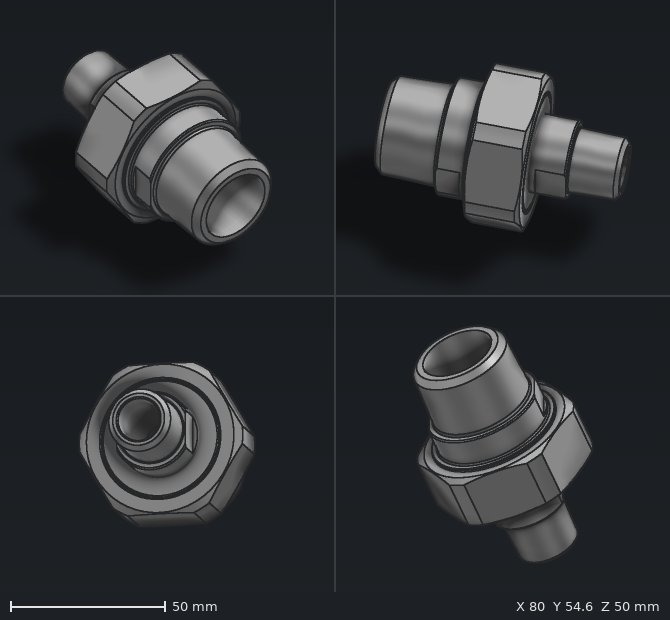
import cadquery as cq
import math

LENGTH = 80.0

NUT_START = 29.4
NUT_END = 48.0
NUT_ACROSS_FLATS = 50.0
NUT_CORNER_RADIUS = 27.32
NUT_FACE_RADIUS = 24.6
NUT_CHAMFER_DEPTH = 1.0
NUT_LIP_RADIUS = 39.5 / 2
NUT_LIP_CHAMFER = 0.5
NUT_LIP_END = NUT_START + 4.8
THREAD_RADIUS = 43.4 / 2

TAIL_BORE_RADIUS = 14.0 / 2
TAIL_BORE_CHAMFER = 0.5
TAIL_TIP_RADIUS = 8.6
TAIL_TAPER_START = 1.5
TAIL_TAPER_START_RADIUS = 10.3
TAIL_TAPER_END = 16.5
TAIL_TAPER_END_RADIUS = 10.7
TAIL_NECK_RADIUS = 11.0
TAIL_BODY_START = 17.0
TAIL_BODY_RADIUS = 26.0 / 2
TAIL_BODY_CHAMFER = 0.6
TAIL_ROOT_RADIUS = 0.3
TAIL_FLAT_OFFSET = 11.4
TAIL_FLAT_END = 27.1
FLANGE_RADIUS = 39.0 / 2
FLANGE_CHAMFER = 0.5
COLLAR_RADIUS = 43.0 / 2
COLLAR_END = NUT_LIP_END + 4.0

HOUSING_BORE_RADIUS = 24.0 / 2
THREAD_END = 49.0
THREAD_CHAMFER = 0.3
HOUSING_SHOULDER_RADIUS = 19.9
HOUSING_BODY_START = 49.7
HOUSING_BODY_RADIUS = 19.4
HOUSING_BODY_END = 58.8
HOUSING_BODY_CHAMFER = 0.5
HOUSING_FLAT_OFFSET = 18.4
HOUSING_FLAT_START = 50.7
HOUSING_NECK_END = 59.8
HOUSING_NECK_RADIUS = 17.4
HOUSING_TAPER_RADIUS = 17.0
HOUSING_TAPER_END = 77.8
HOUSING_TAPER_END_RADIUS = 16.3
HOUSING_TIP_RADIUS = 14.2


def turn(profile):
    """Revolve a closed profile of (x, radius) about the X axis."""
    return profile.close().revolve(360, (0, 0, 0), (1, 0, 0))


def cut_flats(body, offset, start, end):
    """Cut two wrench flats facing -Y and +Y at the given distance from the axis."""
    for side in (-1, 1):
        block = cq.Workplane("XY").box(end - start, offset, 4 * offset)
        body = body.cut(block.translate(((start + end) / 2, side * 1.5 * offset, 0)))
    return body


def make_nut():
    hexagon = (
        cq.Workplane("YZ", origin=(NUT_START, 0, 0))
        .polygon(6, NUT_ACROSS_FLATS / math.cos(math.pi / 6))
        .extrude(NUT_END - NUT_START)
    )
    envelope = turn(
        cq.Workplane("XY").polyline([
            (NUT_START, 0),
            (NUT_START, NUT_FACE_RADIUS),
            (NUT_START + NUT_CHAMFER_DEPTH, NUT_CORNER_RADIUS),
            (NUT_END - NUT_CHAMFER_DEPTH, NUT_CORNER_RADIUS),
            (NUT_END, NUT_FACE_RADIUS),
            (NUT_END, 0),
        ])
    )
    bore = turn(
        cq.Workplane("XY").polyline([
            (NUT_START, 0),
            (NUT_START, NUT_LIP_RADIUS + NUT_LIP_CHAMFER),
            (NUT_START + NUT_LIP_CHAMFER, NUT_LIP_RADIUS),
            (NUT_LIP_END, NUT_LIP_RADIUS),
            (NUT_LIP_END, THREAD_RADIUS),
            (NUT_END, THREAD_RADIUS),
            (NUT_END, 0),
        ])
    )
    return hexagon.intersect(envelope).cut(bore)


def make_tailpiece():
    root_start = NUT_START - TAIL_ROOT_RADIUS
    root_middle = TAIL_ROOT_RADIUS * math.sqrt(0.5)
    body = turn(
        cq.Workplane("XY")
        .moveTo(TAIL_BORE_CHAMFER, TAIL_BORE_RADIUS)
        .lineTo(0, TAIL_BORE_RADIUS + TAIL_BORE_CHAMFER)
        .lineTo(0, TAIL_TIP_RADIUS)
        .lineTo(TAIL_TAPER_START, TAIL_TAPER_START_RADIUS)
        .lineTo(TAIL_TAPER_END, TAIL_TAPER_END_RADIUS)
        .lineTo(TAIL_BODY_START, TAIL_NECK_RADIUS)
        .lineTo(TAIL_BODY_START, TAIL_BODY_RADIUS - TAIL_BODY_CHAMFER)
        .lineTo(TAIL_BODY_START + TAIL_BODY_CHAMFER, TAIL_BODY_RADIUS)
        .lineTo(root_start, TAIL_BODY_RADIUS)
        .threePointArc(
            (root_start + root_middle, TAIL_BODY_RADIUS + TAIL_ROOT_RADIUS - root_middle),
            (NUT_START, TAIL_BODY_RADIUS + TAIL_ROOT_RADIUS),
        )
        .lineTo(NUT_START, FLANGE_RADIUS - FLANGE_CHAMFER)
        .lineTo(NUT_START + FLANGE_CHAMFER, FLANGE_RADIUS)
        .lineTo(NUT_LIP_END, FLANGE_RADIUS)
        .lineTo(NUT_LIP_END, COLLAR_RADIUS)
        .lineTo(COLLAR_END, COLLAR_RADIUS)
        .lineTo(COLLAR_END, TAIL_BORE_RADIUS)
    )
    return cut_flats(body, TAIL_FLAT_OFFSET, TAIL_BODY_START, TAIL_FLAT_END)


def make_housing():
    body = turn(
        cq.Workplane("XY").polyline([
            (COLLAR_END, HOUSING_BORE_RADIUS),
            (COLLAR_END, THREAD_RADIUS),
            (THREAD_END - THREAD_CHAMFER, THREAD_RADIUS),
            (THREAD_END, THREAD_RADIUS - THREAD_CHAMFER),
            (THREAD_END, HOUSING_SHOULDER_RADIUS),
            (HOUSING_BODY_START, HOUSING_BODY_RADIUS),
            (HOUSING_BODY_END - HOUSING_BODY_CHAMFER, HOUSING_BODY_RADIUS),
            (HOUSING_BODY_END, HOUSING_BODY_RADIUS - HOUSING_BODY_CHAMFER),
            (HOUSING_BODY_END, HOUSING_NECK_RADIUS),
            (HOUSING_NECK_END, HOUSING_TAPER_RADIUS),
            (HOUSING_TAPER_END, HOUSING_TAPER_END_RADIUS),
            (LENGTH, HOUSING_TIP_RADIUS),
            (LENGTH, HOUSING_BORE_RADIUS),
        ])
    )
    return cut_flats(body, HOUSING_FLAT_OFFSET, HOUSING_FLAT_START, HOUSING_BODY_END)


tailpiece = make_tailpiece()
nut = make_nut()
housing = make_housing()

result = cq.Compound.makeCompound([tailpiece.val(), nut.val(), housing.val()])